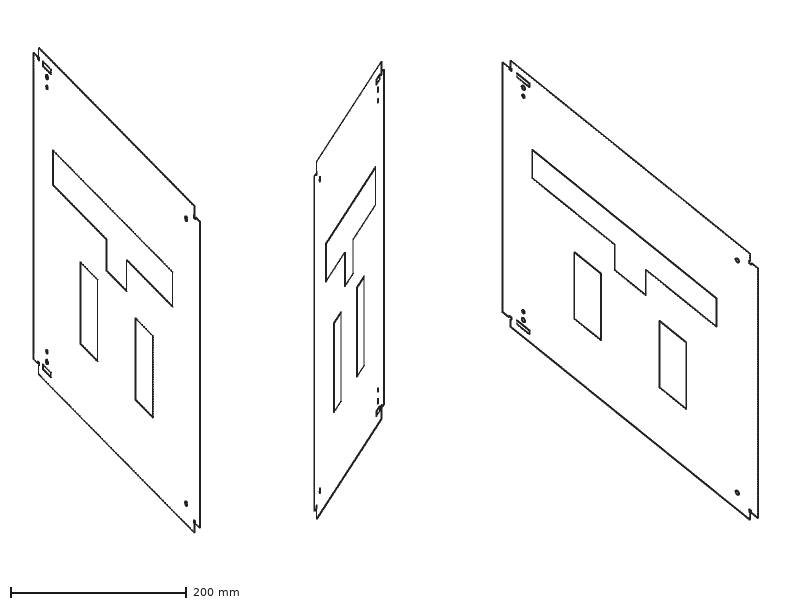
import cadquery as cq

WIDTH = 445.5
HEIGHT = 424.5
THICKNESS = 1.2

SIDE_FLANGE_DEPTH = 11.5
END_FLANGE_DEPTH = 12.0
SIDE_FLANGE_HEIGHT = 398.0
END_FLANGE_WIDTH = 417.8
END_BEND_WIDTH = 414.0
SIDE_BEND_HEIGHT = 393.0

SLOT_LEFT = -198.0
SLOT_RIGHT = -176.0
SLOT_HEIGHT = 6.2

LONG_WINDOW_LEFT = -171.0
LONG_WINDOW_RIGHT = 150.5
LONG_WINDOW_TOP = 98.0
LONG_WINDOW_BOTTOM = 52.5
TAB_WIDTH = 54.5
TAB_BOTTOM = 12.0

UPRIGHT_WINDOW_WIDTH = 46.8
UPRIGHT_WINDOW_TOP = -11.0
UPRIGHT_WINDOW_BOTTOM = -117.5
UPRIGHT_WINDOW_SPACING = 148.5

HOLE_X = 186.5
CORNER_HOLE_Z = 185.3
CORNER_HOLE_DIAMETER = 6.2
PILOT_HOLE_Z = 172.0
PILOT_HOLE_DIAMETER = 5.0

side_flange_x = WIDTH / 2 - SIDE_FLANGE_DEPTH
end_flange_z = HEIGHT / 2 - END_FLANGE_DEPTH


def plate(left, right, bottom, top):
    """Rectangle in the XZ plane, as thick as the sheet and centred on Y = 0."""
    return (
        cq.Workplane("XY")
        .box(right - left, THICKNESS, top - bottom)
        .translate(((left + right) / 2, 0, (bottom + top) / 2))
    )


def centred_plate(width, height):
    """Plate centred on the origin."""
    return plate(-width / 2, width / 2, -height / 2, height / 2)


def blank():
    """Panel, bend strips and flanges, leaving a relief notch at each corner."""
    sheet = centred_plate(2 * side_flange_x, SIDE_BEND_HEIGHT)
    sheet = sheet.union(centred_plate(END_BEND_WIDTH, 2 * end_flange_z))
    for side in (-1, 1):
        side_edges = sorted((side * side_flange_x, side * WIDTH / 2))
        end_edges = sorted((side * end_flange_z, side * HEIGHT / 2))
        sheet = sheet.union(plate(*side_edges, -SIDE_FLANGE_HEIGHT / 2, SIDE_FLANGE_HEIGHT / 2))
        sheet = sheet.union(plate(-END_FLANGE_WIDTH / 2, END_FLANGE_WIDTH / 2, *end_edges))
    return sheet


def relief_slots():
    """Slots that cut through the end bends and into the panel."""
    top = plate(SLOT_LEFT, SLOT_RIGHT, end_flange_z - SLOT_HEIGHT, end_flange_z)
    return top.union(top.mirror("XY"))


def windows():
    """The long window with its tab, and the pair of upright windows below it."""
    cutter = plate(LONG_WINDOW_LEFT, LONG_WINDOW_RIGHT, LONG_WINDOW_BOTTOM, LONG_WINDOW_TOP)
    cutter = cutter.union(plate(-TAB_WIDTH / 2, TAB_WIDTH / 2, TAB_BOTTOM, LONG_WINDOW_TOP))
    for side in (-1, 1):
        middle = side * UPRIGHT_WINDOW_SPACING / 2
        left = middle - UPRIGHT_WINDOW_WIDTH / 2
        right = middle + UPRIGHT_WINDOW_WIDTH / 2
        cutter = cutter.union(plate(left, right, UPRIGHT_WINDOW_BOTTOM, UPRIGHT_WINDOW_TOP))
    return cutter


def pins(points, diameter):
    """Round cutters through the sheet at the given (X, Z) points."""
    return (
        cq.Workplane("XZ")
        .pushPoints(points)
        .circle(diameter / 2)
        .extrude(THICKNESS, both=True)
    )


corner_points = [(x, z) for x in (-HOLE_X, HOLE_X) for z in (-CORNER_HOLE_Z, CORNER_HOLE_Z)]
pilot_points = [(-HOLE_X, z) for z in (-PILOT_HOLE_Z, PILOT_HOLE_Z)]

result = (
    blank()
    .cut(relief_slots())
    .cut(windows())
    .cut(pins(corner_points, CORNER_HOLE_DIAMETER))
    .cut(pins(pilot_points, PILOT_HOLE_DIAMETER))
)